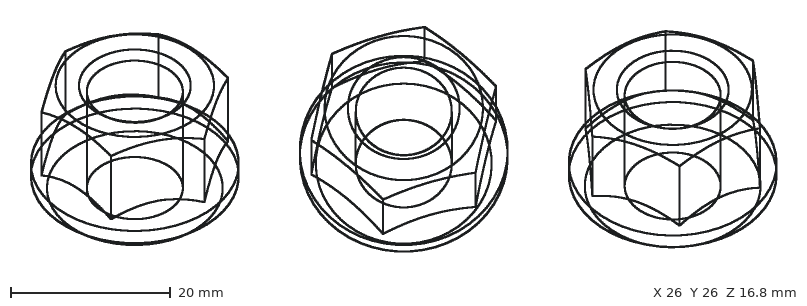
import cadquery as cq
import math

height = 16.8
flange_radius = 13.0
flange_chamfer = 2.0
flange_rim_height = 2.0

across_flats = 21.0
top_face_radius = 9.9
corner_chamfer_angle = 35.0

bore_radius = 6.0
countersink_radius = 7.0

rim_top = flange_chamfer + flange_rim_height
corner_radius = across_flats / math.sqrt(3)


def make_flange():
    """Chamfered disc whose upper 45 degree cone runs up into the hexagon."""
    cone_top_radius = bore_radius + flange_chamfer
    cone_rise = flange_radius - cone_top_radius
    profile = [
        (0, 0),
        (flange_radius - flange_chamfer, 0),
        (flange_radius, flange_chamfer),
        (flange_radius, rim_top),
        (cone_top_radius, rim_top + cone_rise),
        (0, rim_top + cone_rise),
    ]
    return cq.Workplane("XZ").polyline(profile).close().revolve(360, (0, 0), (0, 1))


def make_hexagon():
    """Hexagonal prism with two corners on the Y axis and a conical top chamfer."""
    prism = (
        cq.Workplane("XY", origin=(0, 0, rim_top))
        .polygon(6, 2 * corner_radius)
        .extrude(height - rim_top)
        .rotate((0, 0, 0), (0, 0, 1), 30)
    )
    envelope_drop = (flange_radius - top_face_radius) * math.tan(math.radians(corner_chamfer_angle))
    profile = [
        (0, 0),
        (flange_radius, 0),
        (flange_radius, height - envelope_drop),
        (top_face_radius, height),
        (0, height),
    ]
    envelope = cq.Workplane("XZ").polyline(profile).close().revolve(360, (0, 0), (0, 1))
    return prism.intersect(envelope)


def make_bore():
    """Through bore with a countersunk top entry."""
    countersink_depth = countersink_radius - bore_radius
    profile = [
        (0, 0),
        (bore_radius, 0),
        (bore_radius, height - countersink_depth),
        (countersink_radius, height),
        (0, height),
    ]
    return cq.Workplane("XZ").polyline(profile).close().revolve(360, (0, 0), (0, 1))


result = make_flange().union(make_hexagon()).cut(make_bore())